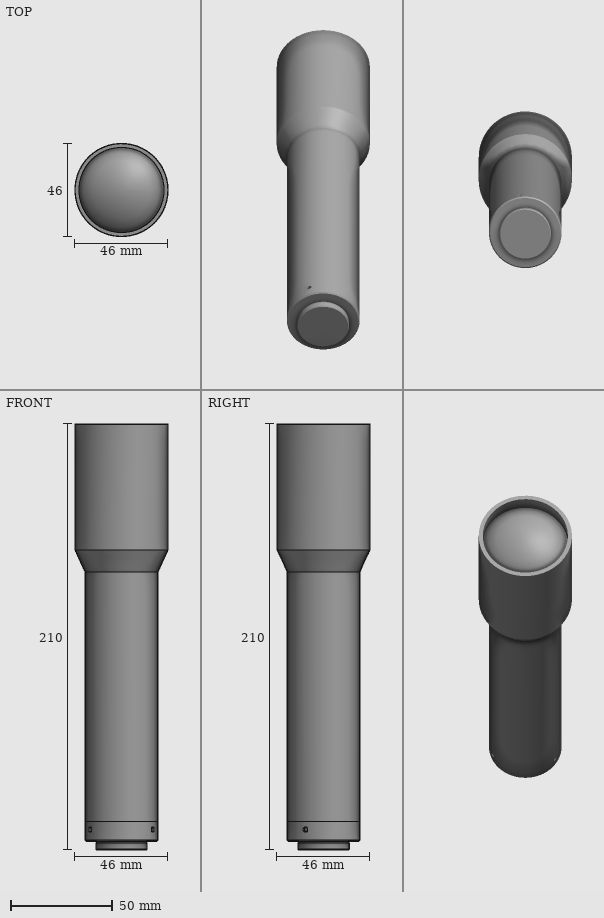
import cadquery as cq
import math

total_height = 210.0
head_radius = 46.0 / 2
tube_radius = 36.0 / 2

head_bottom = 148.1
cone_bottom = 137.2
seam_height = 14.0

bore_radius = 42.0 / 2
dome_rise = 8.5

collar_bottom = 4.2
collar_chamfer = 0.6
neck_radius = 24.5 / 2
neck_height = 0.8
spigot_radius = 25.5 / 2
spigot_chamfer = 0.5

screw_hole_diameter = 2.5
screw_hole_depth = 1.3
screw_hole_height = 10.0
screw_hole_count = 3
first_screw_angle = 90.0


def revolve_about_z(profile):
    """Revolve a closed XZ profile a full turn about the Z axis."""
    return profile.close().revolve(360, (0, 0, 0), (0, 1, 0))


def make_barrel():
    """Lens barrel: tube, flared head and recessed spherical dome."""
    dome_radius = (bore_radius**2 + dome_rise**2) / (2 * dome_rise)
    half_angle = math.asin(bore_radius / dome_radius) / 2
    arc_middle = (
        dome_radius * math.sin(half_angle),
        total_height - dome_radius * (1 - math.cos(half_angle)),
    )
    profile = (
        cq.Workplane("XZ")
        .moveTo(0, seam_height)
        .lineTo(tube_radius, seam_height)
        .lineTo(tube_radius, cone_bottom)
        .lineTo(head_radius, head_bottom)
        .lineTo(head_radius, total_height)
        .lineTo(bore_radius, total_height)
        .lineTo(bore_radius, total_height - dome_rise)
        .threePointArc(arc_middle, (0, total_height))
    )
    return revolve_about_z(profile)


def make_screw_hole(angle):
    """Radial cutter entering the collar from outside at the given angle."""
    return (
        cq.Workplane("YZ", origin=(tube_radius - screw_hole_depth, 0, screw_hole_height))
        .circle(screw_hole_diameter / 2)
        .extrude(2 * screw_hole_depth)
        .rotate((0, 0, 0), (0, 0, 1), angle)
    )


def make_mount():
    """Camera mount: chamfered collar with set screw holes above a relieved spigot."""
    profile = (
        cq.Workplane("XZ")
        .lineTo(spigot_radius - spigot_chamfer, 0)
        .lineTo(spigot_radius, spigot_chamfer)
        .lineTo(spigot_radius, collar_bottom - neck_height)
        .lineTo(neck_radius, collar_bottom - neck_height)
        .lineTo(neck_radius, collar_bottom)
        .lineTo(tube_radius - collar_chamfer, collar_bottom)
        .lineTo(tube_radius, collar_bottom + collar_chamfer)
        .lineTo(tube_radius, seam_height)
        .lineTo(0, seam_height)
    )
    mount = revolve_about_z(profile)
    for index in range(screw_hole_count):
        angle = first_screw_angle + index * 360 / screw_hole_count
        mount = mount.cut(make_screw_hole(angle))
    return mount


barrel = make_barrel()
mount = make_mount()

result = cq.Compound.makeCompound([barrel.val(), mount.val()])